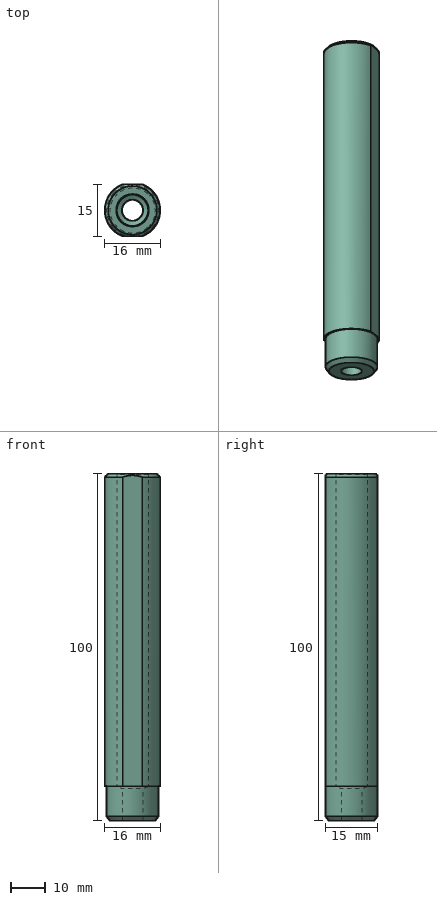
import cadquery as cq
import math

total_length = 100.0
plug_length = 10.0
sleeve_length = total_length - plug_length

sleeve_radius = 8.0
width_across_flats = 15.0
sleeve_chamfer = 1.0
bore_radius = 4.5
bore_mouth_chamfer = 0.2

plug_radius = width_across_flats / 2
plug_chamfer_height = 1.3
plug_chamfer_width = 1.0
passage_radius = 3.0
funnel_angle = 135.0
funnel_depth = (bore_radius - passage_radius) / math.tan(math.radians(funnel_angle / 2))


def make_sleeve():
    """Tube with a chamfered top end, two long flats and a plain through bore."""
    tube = (
        cq.Workplane("XY", origin=(0, 0, plug_length))
        .circle(sleeve_radius)
        .extrude(sleeve_length)
        .faces(">Z")
        .chamfer(sleeve_chamfer)
    )
    flats = (
        cq.Workplane("XY", origin=(0, 0, plug_length))
        .rect(2 * sleeve_radius, width_across_flats)
        .extrude(sleeve_length)
    )
    bored = tube.intersect(flats).faces(">Z").workplane(origin=(0, 0, total_length)).hole(2 * bore_radius)
    mouth_edge = cq.selectors.RadiusNthSelector(0)
    return bored.faces(">Z").edges(mouth_edge).chamfer(bore_mouth_chamfer)


def make_plug():
    """Revolved end plug: chamfered foot, through passage and a funnel facing the bore."""
    return (
        cq.Workplane("XZ")
        .moveTo(passage_radius, 0)
        .lineTo(plug_radius - plug_chamfer_width, 0)
        .lineTo(plug_radius, plug_chamfer_height)
        .lineTo(plug_radius, plug_length)
        .lineTo(bore_radius, plug_length)
        .lineTo(passage_radius, plug_length - funnel_depth)
        .close()
        .revolve(360, (0, 0, 0), (0, 1, 0))
    )


sleeve = make_sleeve()
plug = make_plug()

result = cq.Compound.makeCompound([sleeve.val(), plug.val()])